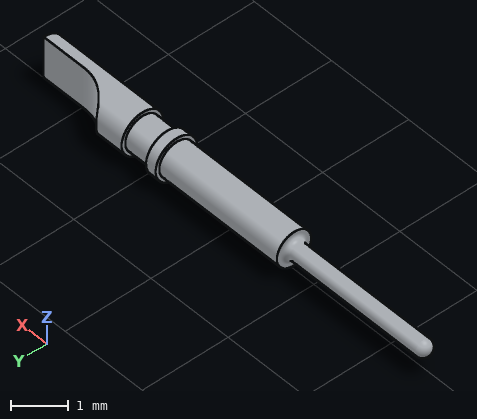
import cadquery as cq
import math

total_length = 10.03

pin_diameter = 0.39
pin_radius = pin_diameter / 2
tip_length = 0.16
neck_fillet = 0.12
shoulder_x = 3.53

body_radius = 0.4
collar_diameter = 0.97
collar_radius = collar_diameter / 2
collar_start = 6.58
collar_width = 0.25
collar_end = collar_start + collar_width
tail_start = 7.46

scoop_start = 8.12
scoop_radius = 1.0


def point_on_circle(center_x, center_y, radius, angle_degrees):
    """Point on a circle at the given angle."""
    angle = math.radians(angle_degrees)
    return (center_x + radius * math.cos(angle), center_y + radius * math.sin(angle))


def turned_body():
    """Revolve the stepped half profile, including domed tip and neck fillet."""
    dome_radius = (pin_radius**2 + tip_length**2) / (2 * tip_length)
    dome_half_angle = math.degrees(math.asin(pin_radius / dome_radius))
    dome_middle = point_on_circle(dome_radius, 0, dome_radius, 180 - dome_half_angle / 2)

    neck_x = shoulder_x - neck_fillet
    neck_outer = pin_radius + neck_fillet
    neck_middle = point_on_circle(neck_x, neck_outer, neck_fillet, -45)

    profile = (
        cq.Workplane("XY")
        .moveTo(0, 0)
        .threePointArc(dome_middle, (tip_length, pin_radius))
        .lineTo(neck_x, pin_radius)
        .threePointArc(neck_middle, (shoulder_x, neck_outer))
        .lineTo(shoulder_x, body_radius)
        .lineTo(collar_start, body_radius)
        .lineTo(collar_start, collar_radius)
        .lineTo(collar_end, collar_radius)
        .lineTo(collar_end, body_radius)
        .lineTo(tail_start, body_radius)
        .lineTo(tail_start, collar_radius)
        .lineTo(total_length, collar_radius)
        .lineTo(total_length, 0)
        .close()
    )
    return profile.revolve(360, (0, 0, 0), (1, 0, 0))


def tail_scoop():
    """Cutter for the +Y half of the tail, with a concave run-out onto the mid-plane."""
    rise = scoop_radius - collar_radius
    run = math.sqrt(scoop_radius**2 - rise**2)
    flat_start = scoop_start + run
    start_angle = 180 + math.degrees(math.asin(rise / scoop_radius))
    middle_angle = (start_angle + 270) / 2
    arc_point = point_on_circle(flat_start, scoop_radius, scoop_radius, middle_angle)
    return (
        cq.Workplane("XY")
        .moveTo(scoop_start, collar_radius)
        .threePointArc(arc_point, (flat_start, 0))
        .lineTo(total_length, 0)
        .lineTo(total_length, collar_radius)
        .close()
        .extrude(collar_radius, both=True)
    )


result = turned_body().cut(tail_scoop())